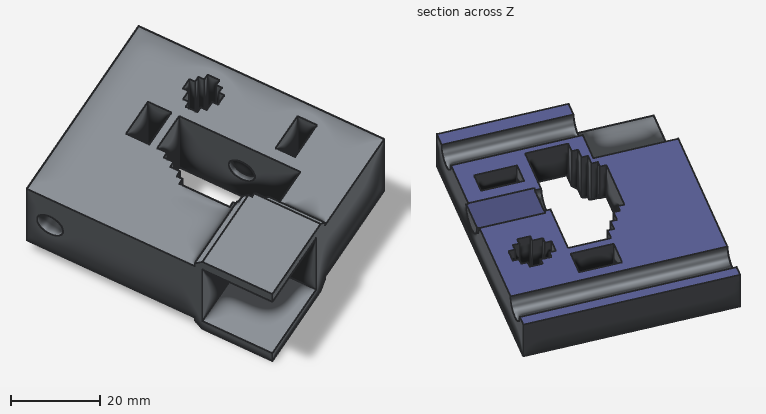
import cadquery as cq

length = 63.0
depth = 51.0
height = 20.0

flange_thickness = 3.0
flange_depth = 24.0
wall = 2.0
flange_left = 43.0
recess_depth = 20.0
total_height = height + 2 * flange_thickness

bore_diameter = 6.7
bore_inset_left = 6.0
bore_inset_right = 7.0

small_step = 1.5
wide_step = 2.5
window_left = 20.0
window_right = 51.0
window_front = flange_depth
window_back = 34.0
side_slot_left = 12.0
side_slot_width = 6.0
rear_slot_left = 43.0
rear_slot_width = 5.0
rear_front = 37.0
rear_back = 47.0
cross_center_x = 21.5
cross_half_widths = (1.5, 3.0, 4.5)
cross_front_shoulder = 2.5

pin_x = 36.05
pin_diameter = 8.0
pin_proud = 0.5
mouth_diameter = 6.7
mouth_depth = 1.5
pin_front = window_back + mouth_depth


def centered_prism(outline, prism_height):
    """Vertical prism on an XY outline, centred on Z = 0."""
    return cq.Workplane("XY").polyline(outline).close().extrude(prism_height / 2, both=True)


def box_between(left, right, front, back, box_height):
    """Box spanning the given X and Y limits, centred on Z = 0."""
    corners = [(left, front), (right, front), (right, back), (left, back)]
    return centered_prism(corners, box_height)


def cylinder_along_y(x, diameter, front, back):
    """Round bar on the mid plane, running in Y."""
    plane = cq.Plane(origin=(x, front, 0), xDir=(1, 0, 0), normal=(0, 1, 0))
    return cq.Workplane(plane).circle(diameter / 2).extrude(back - front)


def stepped_window():
    """Rectangular window whose front side narrows in four steps, alike at both ends."""
    step_widths = (wide_step, wide_step, wide_step, small_step)
    left_side = [(window_left, window_back), (window_left, window_front)]
    x, y = left_side[-1]
    for width in step_widths:
        x += width
        left_side.append((x, y))
        y -= small_step
        left_side.append((x, y))
    right_side = [(window_left + window_right - px, py) for px, py in reversed(left_side)]
    return centered_prism(left_side + right_side, total_height)


def cross_window():
    """Stepped cross with a longer shoulder on its front side."""
    narrow, middle, full = cross_half_widths
    bands = (
        (narrow, rear_front, rear_back),
        (middle, rear_front + small_step, rear_back - small_step),
        (full, rear_front + small_step + cross_front_shoulder, rear_back - 2 * small_step),
    )
    cross = cq.Workplane("XY")
    for half_width, front, back in bands:
        left = cross_center_x - half_width
        right = cross_center_x + half_width
        band = box_between(left, right, front, back, total_height)
        cross = cross.union(band)
    return cross


def make_housing():
    flanges = box_between(flange_left, length, 0, flange_depth, total_height)
    flanges = flanges.faces("<Z or >Z").edges("<X or >Y").chamfer(wall)
    body = box_between(0, length, 0, depth, height).union(flanges)

    recess = box_between(flange_left + wall, length, 0, recess_depth, height)
    side_slot = box_between(
        side_slot_left, side_slot_left + side_slot_width, window_front, window_back, total_height
    )
    rear_slot = box_between(
        rear_slot_left, rear_slot_left + rear_slot_width, rear_front, rear_back, total_height
    )
    for cut in (recess, side_slot, rear_slot, stepped_window(), cross_window()):
        body = body.cut(cut)

    for x in (bore_inset_left, length - bore_inset_right):
        body = body.cut(cylinder_along_y(x, bore_diameter, 0, depth))

    body = body.cut(cylinder_along_y(pin_x, mouth_diameter, window_back, pin_front))
    return body.cut(cylinder_along_y(pin_x, pin_diameter, pin_front, depth))


def make_pin():
    return cylinder_along_y(pin_x, pin_diameter, pin_front, depth + pin_proud)


housing = make_housing()
pin = make_pin()
result = cq.Compound.makeCompound([housing.val(), pin.val()])